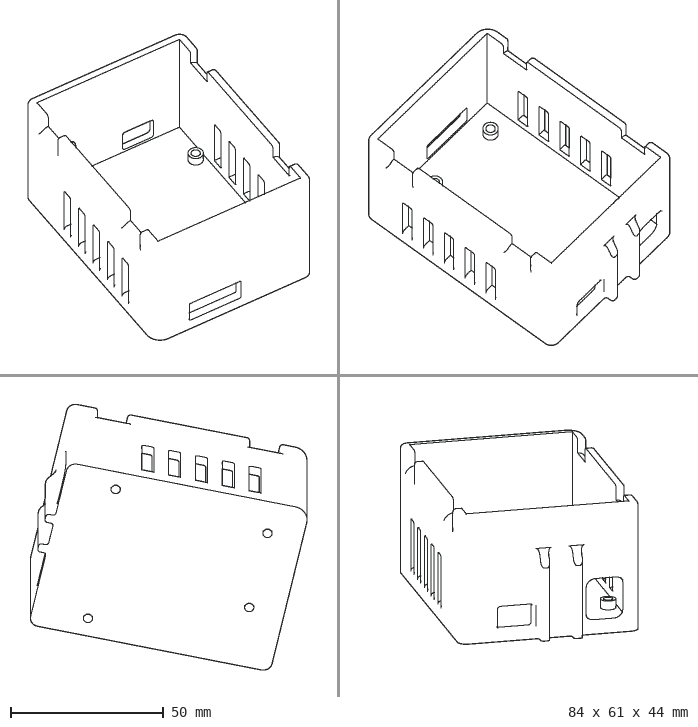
import cadquery as cq

TOTAL_LENGTH = 84.0
RIB_DEPTH = 3.0
LENGTH = TOTAL_LENGTH - RIB_DEPTH
WIDTH = 61.0
HEIGHT = 44.0
WALL = 3.0
FLOOR = 3.0
CORNER_RADIUS = 3.0
BIG_CORNER_RADIUS = 5.0
EDGE_ROUND = 1.1

NOTCH_STARTS = (10.0, 61.0)
NOTCH_WIDTH = 10.0
NOTCH_DEPTH = 5.0
NOTCH_SILL_ROUND = 3.1

SLOT_COUNT = 5
SLOT_START = 24.6
SLOT_PITCH = 9.0
SLOT_WIDTH = 4.0
SLOT_BOTTOM = 6.05
SLOT_TOP = 23.0
SLOT_CORNER_RADIUS = 0.75
SLOT_SILL_ROUND = 1.1

PORT_BOTTOM = 4.0
PORTS = (
    (36.0, 48.0, 11.9, 1.0),
    (5.0, 18.0, 18.9, 3.0),
)
PORT_ROUND = 1.0

WINDOW_START = 13.2
WINDOW_END = 33.2
WINDOW_TOP = 11.85
WINDOW_CORNER_RADIUS = 0.7

RIB_CENTERS = (21.5, 32.6)
RIB_WIDTH = 3.0
RIB_ROUND = 1.0
RIB_TOP_AT_WALL = 31.2
RIB_TOP_AT_TIP = 25.2

POST_CENTERS = ((17.2, 6.4), (18.5, 54.6), (69.2, 11.5), (69.2, 39.4))
POST_DIAMETER = 5.0
POST_HEIGHT = 3.0
HOLE_DIAMETER = 3.0

OVERCUT = 0.8


def block(x, y, z, dx, dy, dz):
    """Box with its lowest corner at (x, y, z)."""
    return cq.Workplane("XY").box(dx, dy, dz, centered=False).translate((x, y, z))


def make_outer_body():
    body = block(0, 0, 0, LENGTH, WIDTH, HEIGHT)
    body = body.edges("|Z and >X and <Y").fillet(BIG_CORNER_RADIUS)
    body = body.edges("|Z and (<X or >Y)").fillet(CORNER_RADIUS)
    return body


def make_notch(x_start):
    """Gap across the whole box that leaves sills rounded down to the outside."""
    sill_height = HEIGHT - NOTCH_DEPTH
    sill = block(x_start, 0, 0, NOTCH_WIDTH, WIDTH, sill_height)
    sill = sill.edges("|X and >Z").fillet(NOTCH_SILL_ROUND)
    gap_bottom = sill_height - NOTCH_SILL_ROUND
    gap = block(x_start, -OVERCUT, gap_bottom, NOTCH_WIDTH, WIDTH + 2 * OVERCUT, HEIGHT)
    return gap.cut(sill)


def notch_sides(body):
    """Upright outer edges on both sides of every notch."""
    first_start = min(NOTCH_STARTS)
    last_end = max(NOTCH_STARTS) + NOTCH_WIDTH
    between = cq.selectors.BoxSelector(
        (first_start - OVERCUT, -OVERCUT, 0),
        (last_end + OVERCUT, WIDTH + OVERCUT, HEIGHT),
    )
    return body.edges(between).edges("|Z").edges("<Y or >Y")


def make_slot(x_start):
    """Slot across the whole box that leaves sills rounded down to the outside."""
    height = SLOT_TOP - SLOT_BOTTOM
    slot = block(x_start, -OVERCUT, SLOT_BOTTOM, SLOT_WIDTH, WIDTH + 2 * OVERCUT, height)
    slot = slot.edges("|Y and >Z").fillet(SLOT_CORNER_RADIUS)
    sill_bottom = SLOT_BOTTOM - SLOT_SILL_ROUND
    sill = block(x_start, 0, 0, SLOT_WIDTH, WIDTH, SLOT_BOTTOM)
    sill = sill.edges("|X and >Z").fillet(SLOT_SILL_ROUND)
    step = block(x_start, -OVERCUT, sill_bottom, SLOT_WIDTH, WIDTH + 2 * OVERCUT, SLOT_SILL_ROUND)
    return slot.union(step.cut(sill))


def cut_port(body, y_start, y_end, top, radius):
    """Cut a round-cornered opening into the wall at X = 0 and round its outer rim."""
    port = block(-OVERCUT, y_start, PORT_BOTTOM, WALL + 2 * OVERCUT, y_end - y_start, top - PORT_BOTTOM)
    body = body.cut(port.edges("|X").fillet(radius))
    around_rim = cq.selectors.BoxSelector(
        (-OVERCUT, y_start - OVERCUT, PORT_BOTTOM - OVERCUT),
        (OVERCUT, y_end + OVERCUT, top + OVERCUT),
    )
    return body.faces("<X").edges(around_rim).fillet(PORT_ROUND)


def make_window():
    """Round-cornered opening level with the bottom of the ports."""
    width = WINDOW_END - WINDOW_START
    height = WINDOW_TOP - PORT_BOTTOM
    window = block(LENGTH - WALL - OVERCUT, WINDOW_START, PORT_BOTTOM, WALL + 2 * OVERCUT, width, height)
    return window.edges("|X").fillet(WINDOW_CORNER_RADIUS)


def make_rib(y_center):
    """Upright rib with a flared root, rounded tip edges and a sloping top."""
    half = RIB_WIDTH / 2
    r = RIB_ROUND
    profile = (
        cq.Workplane("XY")
        .moveTo(OVERCUT, -half - r)
        .lineTo(0, -half - r)
        .radiusArc((-r, -half), -r)
        .lineTo(-RIB_DEPTH + r, -half)
        .radiusArc((-RIB_DEPTH, -half + r), r)
        .lineTo(-RIB_DEPTH, half - r)
        .radiusArc((-RIB_DEPTH + r, half), r)
        .lineTo(-r, half)
        .radiusArc((0, half + r), -r)
        .lineTo(OVERCUT, half + r)
        .close()
        .extrude(RIB_TOP_AT_WALL)
    )
    side = (
        cq.Workplane("XZ")
        .polyline([
            (OVERCUT, 0),
            (-RIB_DEPTH, 0),
            (-RIB_DEPTH, RIB_TOP_AT_TIP),
            (0, RIB_TOP_AT_WALL),
            (OVERCUT, RIB_TOP_AT_WALL),
        ])
        .close()
        .extrude(WIDTH, both=True)
    )
    return profile.intersect(side).translate((0, y_center, 0))


result = make_outer_body()
for notch_start in NOTCH_STARTS:
    result = result.cut(make_notch(notch_start))
result = notch_sides(result).fillet(EDGE_ROUND)
result = result.faces(">Z").edges().fillet(EDGE_ROUND)

for port in PORTS:
    result = cut_port(result, *port)

for rib_center in RIB_CENTERS:
    result = result.union(make_rib(rib_center))

result = result.cut(
    block(WALL, WALL, FLOOR, LENGTH - 2 * WALL, WIDTH - 2 * WALL, HEIGHT)
)
result = result.cut(make_window())
for i in range(SLOT_COUNT):
    result = result.cut(make_slot(SLOT_START + i * SLOT_PITCH))

posts = cq.Workplane("XY").pushPoints(POST_CENTERS)
result = result.union(posts.circle(POST_DIAMETER / 2).extrude(FLOOR + POST_HEIGHT))
result = result.cut(posts.circle(HOLE_DIAMETER / 2).extrude(FLOOR + POST_HEIGHT))